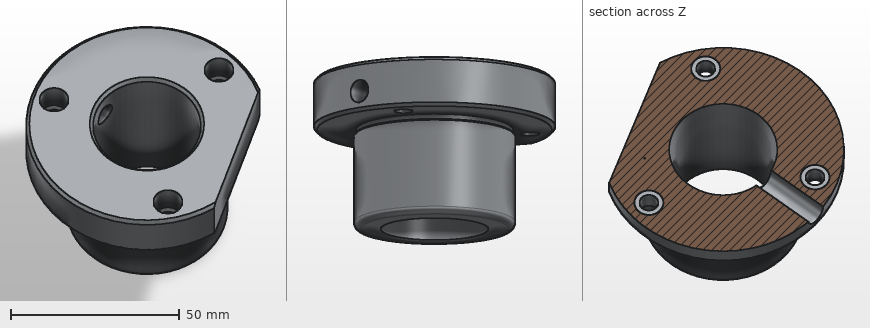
import cadquery as cq
import math

flange_diameter = 71.9
flange_thickness = 14.95
flange_chamfer = 1.0
flat_distance = 28.05

total_height = 45.0
spigot_diameter = 48.0
spigot_top_chamfer = 0.5
spigot_bottom_fillet = 2.0
neck_diameter = 46.8
neck_height = 1.45

bore_diameter = 32.0
bore_chamfer = 1.0

screw_count = 3
first_screw_angle = 180.0
screw_circle_radius = 29.0
screw_hole_diameter = 5.55
counterbore_diameter = 8.55
counterbore_depth = 9.0

radial_hole_diameter = 6.75
radial_hole_angle = 160.0
radial_hole_drop = 9.0

spigot_height = total_height - flange_thickness - neck_height


def make_flange():
    disc = (
        cq.Workplane("XY", origin=(0, 0, total_height - flange_thickness))
        .circle(flange_diameter / 2)
        .extrude(flange_thickness)
        .edges()
        .chamfer(flange_chamfer)
    )
    beyond_flat = (
        cq.Workplane("XY")
        .box(flange_diameter, 2 * flange_diameter, total_height, centered=(False, True, False))
        .translate((flat_distance, 0, 0))
    )
    return disc.cut(beyond_flat)


def make_spigot():
    body = cq.Workplane("XY").circle(spigot_diameter / 2).extrude(spigot_height)
    body = body.faces(">Z").edges().chamfer(spigot_top_chamfer)
    body = body.faces("<Z").edges().fillet(spigot_bottom_fillet)
    neck = (
        cq.Workplane("XY", origin=(0, 0, spigot_height))
        .circle(neck_diameter / 2)
        .extrude(neck_height)
    )
    return body.union(neck)


def cut_bore(part):
    bored = part.faces(">Z").workplane(origin=(0, 0, 0)).hole(bore_diameter)
    rim = bored.faces(">Z").edges(cq.selectors.RadiusNthSelector(0))
    return rim.chamfer(bore_chamfer)


def cut_screw_holes(part):
    return (
        part.faces(">Z")
        .workplane(origin=(0, 0, 0))
        .polarArray(screw_circle_radius, first_screw_angle, 360, screw_count)
        .cboreHole(screw_hole_diameter, counterbore_diameter, counterbore_depth)
    )


def cut_radial_hole(part):
    angle = math.radians(radial_hole_angle)
    outward = cq.Vector(math.cos(angle), math.sin(angle), 0)
    axis_point = cq.Vector(0, 0, total_height - radial_hole_drop)
    drill = cq.Solid.makeCylinder(radial_hole_diameter / 2, flange_diameter, axis_point, outward)
    return part.cut(cq.Workplane(obj=drill))


result = make_flange().union(make_spigot())
result = cut_bore(result)
result = cut_screw_holes(result)
result = cut_radial_hole(result)